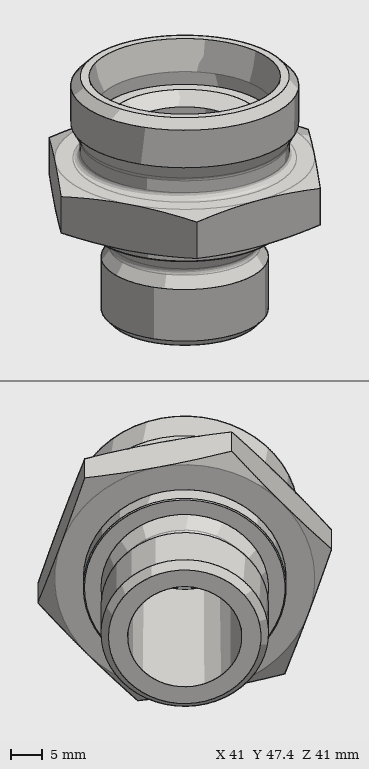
import cadquery as cq
import math

total_height = 41.0
hex_corner_diameter = 47.35

stud_radius = 26.4 / 2
stud_tip_radius = 12.02
stud_tip_chamfer_height = 1.25
stud_top = 10.1

undercut_radius = 12.0
undercut_bottom = 12.02
undercut_top = 13.1
undercut_sagitta = 0.15

collar_radius = 32.0 / 2
collar_bottom = 16.0
collar_edge_break = 0.2

hex_bottom = 19.05
hex_top = 27.0
hex_chamfer_angle = math.radians(15)

head_radius = 36 / 2
head_bottom = 33.05
head_chamfer = 1.5
neck_radius = 33.0 / 2
neck_fillet = 1.15
neck_cone_angle = math.radians(30)

bore_radius = 18 / 2
socket_radius = 28.0 / 2
socket_depth = 7.4
taper_depth = 5.2
taper_angle = math.radians(12)
seat_radius = 12.0
seat_angle = math.radians(30)


def revolve_profile(profile):
    """Turn a closed (radius, height) profile about the Z axis."""
    return profile.close().revolve(360, (0, 0, 0), (0, 1, 0))


def make_stud_and_collar():
    undercut_middle = (undercut_bottom + undercut_top) / 2
    profile = (
        cq.Workplane("XZ")
        .lineTo(stud_tip_radius, 0)
        .lineTo(stud_radius, stud_tip_chamfer_height)
        .lineTo(stud_radius, stud_top)
        .lineTo(undercut_radius, undercut_bottom)
        .threePointArc(
            (undercut_radius - undercut_sagitta, undercut_middle),
            (undercut_radius, undercut_top),
        )
        .lineTo(stud_radius, collar_bottom)
        .lineTo(collar_radius - collar_edge_break, collar_bottom)
        .lineTo(collar_radius, collar_bottom + collar_edge_break)
        .lineTo(collar_radius, hex_bottom)
        .lineTo(0, hex_bottom)
    )
    return revolve_profile(profile)


def make_hexagon():
    """Hexagon with corners on Y, its corners turned off conically at both ends."""
    corner_radius = hex_corner_diameter / 2
    flat_radius = corner_radius * math.cos(math.pi / 6)
    corner_drop = (corner_radius - flat_radius) * math.tan(hex_chamfer_angle)
    prism = (
        cq.Workplane("XY", origin=(0, 0, hex_bottom))
        .polygon(6, hex_corner_diameter)
        .extrude(hex_top - hex_bottom)
        .rotate((0, 0, 0), (0, 0, 1), 30)
    )
    turned_blank = (
        cq.Workplane("XZ")
        .moveTo(0, hex_bottom)
        .lineTo(flat_radius, hex_bottom)
        .lineTo(corner_radius, hex_bottom + corner_drop)
        .lineTo(corner_radius, hex_top - corner_drop)
        .lineTo(flat_radius, hex_top)
        .lineTo(0, hex_top)
    )
    return prism.intersect(revolve_profile(turned_blank))


def make_head():
    cone_height = (head_radius - neck_radius) / math.tan(neck_cone_angle)
    neck_top = head_bottom - cone_height
    tangent_length = neck_fillet * math.tan(neck_cone_angle / 2)
    arc_end_radius = neck_radius + tangent_length * math.sin(neck_cone_angle)
    arc_end_height = neck_top + tangent_length * math.cos(neck_cone_angle)
    profile = (
        cq.Workplane("XZ")
        .moveTo(0, hex_top)
        .lineTo(neck_radius + neck_fillet, hex_top)
        .radiusArc((neck_radius, hex_top + neck_fillet), neck_fillet)
        .lineTo(neck_radius, neck_top - tangent_length)
        .tangentArcPoint((arc_end_radius, arc_end_height), relative=False)
        .lineTo(head_radius, head_bottom)
        .lineTo(head_radius, total_height - head_chamfer)
        .lineTo(head_radius - head_chamfer, total_height)
        .lineTo(0, total_height)
    )
    return revolve_profile(profile)


def make_bore():
    socket_floor = total_height - socket_depth
    seat_depth = (seat_radius - bore_radius) * math.tan(seat_angle)
    mouth_radius = socket_radius + taper_depth * math.tan(taper_angle)
    profile = (
        cq.Workplane("XZ")
        .lineTo(bore_radius, 0)
        .lineTo(bore_radius, socket_floor - seat_depth)
        .lineTo(seat_radius, socket_floor)
        .lineTo(socket_radius, socket_floor)
        .lineTo(socket_radius, total_height - taper_depth)
        .lineTo(mouth_radius, total_height)
        .lineTo(0, total_height)
    )
    return revolve_profile(profile)


body = make_stud_and_collar().union(make_hexagon()).union(make_head())
result = body.cut(make_bore())